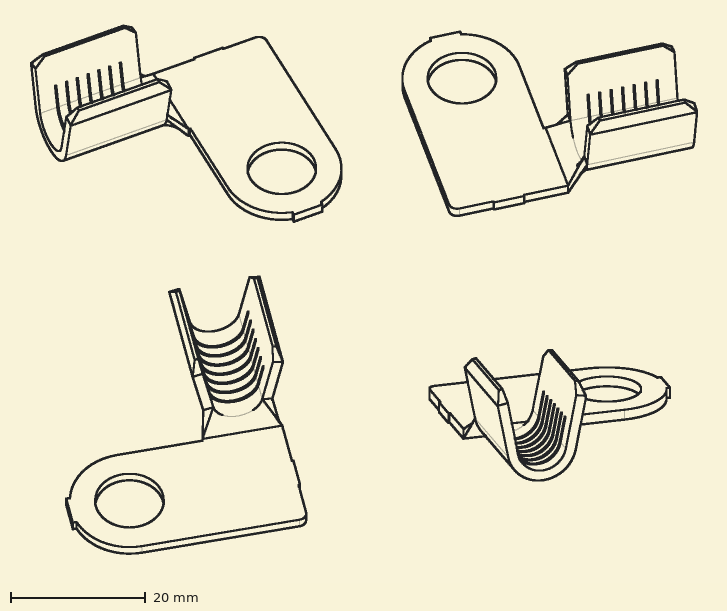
import cadquery as cq
import math

thickness = 1.6

barrel_length = 16.52
barrel_height = 14.6
bend_inner_radius = 3.77
bend_outer_radius = bend_inner_radius + thickness
bend_center_z = bend_outer_radius
wall_lean = math.radians(11)
bevel_land = 0.55
bevel_length = 1.75
corner_chamfer = 1.65
wall_length = (
    barrel_height - bend_center_z + bend_inner_radius * math.sin(wall_lean)
) / math.cos(wall_lean)

groove_count = 7
groove_pitch = 1.77
groove_width = 0.2
groove_depth = 0.1
groove_wall_reach = 3.95

tongue_back_y = 37.72
tongue_end_radius = 8.85
tongue_front_y = tongue_back_y - 2 * tongue_end_radius
tongue_center_y = tongue_back_y - tongue_end_radius
hole_x = 19.1
hole_diameter = 10.2
corner_radius = 1.25
neck_half_width = 6.07
neck_start_y = 19.7

stub_width = 4.68
stub_left_x = -6.3
stub_right_x = 28.18


def wall_point(radius, distance, side=1):
    """XZ point on a wall: offset `radius` from the bend centre, `distance` up from the bend."""
    x = radius * math.cos(wall_lean) + distance * math.sin(wall_lean)
    z = bend_center_z - radius * math.sin(wall_lean) + distance * math.cos(wall_lean)
    return (side * x, z)


def bend_bottom(radius):
    return (0, bend_center_z - radius)


def make_barrel():
    land_radius = bend_inner_radius + bevel_land
    profile = (
        cq.Workplane("XZ")
        .moveTo(*wall_point(bend_outer_radius, 0, -1))
        .threePointArc(bend_bottom(bend_outer_radius), wall_point(bend_outer_radius, 0))
        .lineTo(*wall_point(bend_outer_radius, wall_length - bevel_length))
        .lineTo(*wall_point(land_radius, wall_length))
        .lineTo(*wall_point(bend_inner_radius, wall_length))
        .lineTo(*wall_point(bend_inner_radius, 0))
        .threePointArc(bend_bottom(bend_inner_radius), wall_point(bend_inner_radius, 0, -1))
        .lineTo(*wall_point(bend_inner_radius, wall_length, -1))
        .lineTo(*wall_point(land_radius, wall_length, -1))
        .lineTo(*wall_point(bend_outer_radius, wall_length - bevel_length, -1))
        .close()
    )
    return profile.extrude(-barrel_length)


def make_corner_cutters():
    """Triangular prisms, square to the walls, that chamfer all four wall corners."""
    top_x, top_z = wall_point(bend_inner_radius, wall_length)
    wall_plane = cq.Plane(
        origin=(top_x, 0, top_z),
        xDir=(0, 1, 0),
        normal=(math.cos(wall_lean), 0, -math.sin(wall_lean)),
    )
    right = cq.Workplane("XY")
    for end_y, inward in ((0, 1), (barrel_length, -1)):
        triangle = cq.Workplane(wall_plane).polyline(
            [(end_y, 0), (end_y + inward * corner_chamfer, 0), (end_y, -corner_chamfer)]
        )
        right = right.add(triangle.close().extrude(thickness, both=True))
    right = right.combine()
    return right.union(right.mirror("YZ"))


def make_groove_cutters():
    """Thin U-shaped slices, slightly larger than the inside of the barrel."""
    radius = bend_inner_radius + groove_depth
    first_y = barrel_length / 2 - groove_pitch * (groove_count - 1) / 2
    cutters = cq.Workplane("XY")
    for index in range(groove_count):
        groove_y = first_y + index * groove_pitch
        groove = (
            cq.Workplane("XZ", origin=(0, groove_y, 0))
            .moveTo(*wall_point(radius, 0, -1))
            .threePointArc(bend_bottom(radius), wall_point(radius, 0))
            .lineTo(*wall_point(radius, groove_wall_reach))
            .lineTo(*wall_point(radius, groove_wall_reach, -1))
            .close()
            .extrude(groove_width / 2, both=True)
        )
        cutters = cutters.add(groove)
    return cutters.combine()


def make_neck():
    """Transition that curls the flat end of the tongue into the bend of the barrel."""

    def flat_corner(side, height):
        return cq.Vector(side * neck_half_width, neck_start_y, height)

    def bend_corner(side, radius):
        x, z = wall_point(radius, 0, side)
        return cq.Vector(x, barrel_length, z)

    def flat_width(height):
        return cq.Edge.makeLine(flat_corner(-1, height), flat_corner(1, height))

    def bend_arc(radius):
        x, z = bend_bottom(radius)
        middle = cq.Vector(x, barrel_length, z)
        return cq.Edge.makeThreePointArc(bend_corner(-1, radius), middle, bend_corner(1, radius))

    def flat_side(side):
        return cq.Edge.makeLine(flat_corner(side, 0), flat_corner(side, thickness))

    def bend_side(side):
        return cq.Edge.makeLine(bend_corner(side, bend_outer_radius), bend_corner(side, bend_inner_radius))

    flat_end = [flat_width(0), flat_side(1), flat_width(thickness), flat_side(-1)]
    bend_end = [bend_arc(bend_outer_radius), bend_side(1), bend_arc(bend_inner_radius), bend_side(-1)]
    faces = [cq.Face.makeRuledSurface(flat, bent) for flat, bent in zip(flat_end, bend_end)]
    for outline in (flat_end, bend_end):
        faces.append(cq.Face.makeFromWires(cq.Wire.assembleEdges(outline)))
    return cq.Workplane(cq.Solid.makeSolid(cq.Shell.makeShell(faces)))


def make_tongue():
    tongue = (
        cq.Workplane("XY")
        .moveTo(-neck_half_width, neck_start_y)
        .lineTo(neck_half_width, neck_start_y)
        .lineTo(neck_half_width, tongue_front_y)
        .lineTo(hole_x, tongue_front_y)
        .threePointArc((hole_x + tongue_end_radius, tongue_center_y), (hole_x, tongue_back_y))
        .lineTo(-neck_half_width, tongue_back_y)
        .close()
        .extrude(thickness)
        .edges("|Z and <X and >Y")
        .fillet(corner_radius)
    )
    stubs = cq.Workplane("XY").box(
        stub_right_x - stub_left_x, stub_width, thickness, centered=(False, True, False)
    ).translate((stub_left_x, tongue_center_y, 0))
    hole = (
        cq.Workplane("XY")
        .center(hole_x, tongue_center_y)
        .circle(hole_diameter / 2)
        .extrude(thickness)
    )
    return tongue.union(stubs).cut(hole)


barrel = make_barrel().cut(make_corner_cutters()).cut(make_groove_cutters())
result = barrel.union(make_neck()).union(make_tongue())